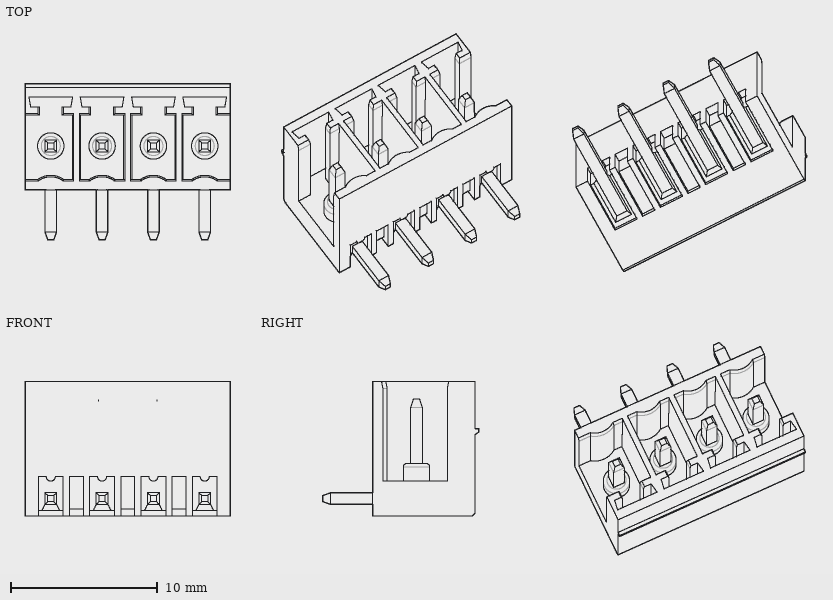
import cadquery as cq


PIN_COUNT = 4
PITCH = 3.5
LENGTH = PIN_COUNT * PITCH
DEPTH = 7.0
HEIGHT = 9.2
FLOOR = 2.4
BACK_EDGE_CHAMFER = 0.2

LEAD_IN = 0.1
LEAD_IN_HEIGHT = 0.5
LEAD_IN_START = HEIGHT - LEAD_IN_HEIGHT

FRONT_WALL = 0.71
BUMP_RADIUS = 1.5
BUMP_REACH = 1.0
BACK_WALL = 0.65
PARTITION_TOP = 0.4
PARTITION_FLOOR = 0.56

TAB_FRONT = 5.1
TAB_BACK = 5.65
NECK_WIDTH = 1.56
WEB_WIDTH_AT_TAB = 0.76
WEB_WIDTH_AT_BACK = 0.52

RIB_REACH = 0.25
RIB_TOP = 5.98
RIB_TIP_BOTTOM = 5.73
RIB_ROOT_BOTTOM = 5.56

PIN_SIZE = 0.8
PIN_TIP_SIZE = 0.42
PIN_Y = 3.0
PIN_TOP = 8.0
UPPER_TIP_LENGTH = 0.6
TAIL_Z = 1.2
TAIL_REACH = 3.4
TAIL_TIP_LENGTH = 0.52
COLLAR_DIAMETER = 1.8
COLLAR_TOP = 3.6
COLLAR_ROUND = 0.25

NOTCH_TOP = 2.7
NOTCH_WIDTH = 1.7
NOTCH_DEPTH = 0.46
NOTCH_LOBE_RADIUS = 0.31
SLOT_WIDTH = 0.94
SLOT_DEPTH = 0.55
RECESS_BACK = 4.0
PIN_RECESS_HEIGHT = 0.38
SLOT_RECESS_HEIGHT = 0.49
TROUGH_WIDTH = 1.22
TROUGH_BACK = 3.64

TAIL_BOTTOM = TAIL_Z - PIN_SIZE / 2
BEND_BACK = PIN_Y + PIN_SIZE / 2

PIN_XS = [(i + 0.5) * PITCH for i in range(PIN_COUNT)]
JOINT_XS = [i * PITCH for i in range(PIN_COUNT + 1)]
INNER_JOINT_XS = JOINT_XS[1:-1]


def block(x_min, x_max, y_min, y_max, z_min, z_max):
    size = (x_max - x_min, y_max - y_min, z_max - z_min)
    return cq.Workplane("XY").box(*size, centered=False).translate((x_min, y_min, z_min))


def centred_block(x, width, y_min, y_max, z_min, z_max):
    return block(x - width / 2, x + width / 2, y_min, y_max, z_min, z_max)


def along_row(profile_yz):
    """Extrude a (y, z) outline over the full length of the row."""
    return cq.Workplane("YZ").polyline(profile_yz).close().extrude(LENGTH)


def base_and_back_wall():
    return along_row([
        (0, 0),
        (DEPTH - BACK_EDGE_CHAMFER, 0),
        (DEPTH, BACK_EDGE_CHAMFER),
        (DEPTH, RIB_ROOT_BOTTOM),
        (DEPTH + RIB_REACH, RIB_TIP_BOTTOM),
        (DEPTH + RIB_REACH, RIB_TOP),
        (DEPTH, RIB_TOP),
        (DEPTH, HEIGHT),
        (DEPTH - BACK_WALL, HEIGHT),
        (DEPTH - BACK_WALL, FLOOR),
        (0, FLOOR),
    ])


def front_wall():
    return along_row([
        (0, 0),
        (FRONT_WALL, 0),
        (FRONT_WALL, LEAD_IN_START),
        (FRONT_WALL - LEAD_IN, HEIGHT),
        (0, HEIGHT),
    ])


def front_wall_bump(x):
    """Shallow rounded bulge on the inside of the front wall, facing a pin."""
    bump = (
        cq.Workplane("XY", origin=(x, BUMP_REACH - BUMP_RADIUS, 0))
        .circle(BUMP_RADIUS)
        .extrude(HEIGHT)
        .faces(">Z")
        .chamfer(LEAD_IN_HEIGHT, LEAD_IN)
    )
    kept = block(0, LENGTH, FRONT_WALL / 2, DEPTH, FLOOR / 2, HEIGHT)
    return bump.intersect(kept)


def partition(x):
    """Drafted wall between two neighbouring sockets."""
    half_floor = PARTITION_FLOOR / 2
    half_top = PARTITION_TOP / 2
    outline = [
        (x - half_floor, FLOOR),
        (x + half_floor, FLOOR),
        (x + half_top, HEIGHT),
        (x - half_top, HEIGHT),
    ]
    start = FRONT_WALL / 2
    wall_section = cq.Workplane("XZ", origin=(0, start, 0)).polyline(outline).close()
    return wall_section.extrude(start - TAB_BACK)


def key_tab(x):
    """Tab narrowing the key slots on both sides of a joint, with its web to the back wall."""
    width = PITCH - NECK_WIDTH
    tab = centred_block(x, width, TAB_FRONT, TAB_BACK, FLOOR, LEAD_IN_START)
    tip_front = TAB_FRONT + LEAD_IN
    tip = (
        cq.Workplane("XY", origin=(x, 0, LEAD_IN_START))
        .center(0, (TAB_FRONT + TAB_BACK) / 2)
        .rect(width, TAB_BACK - TAB_FRONT)
        .workplane(offset=LEAD_IN_HEIGHT)
        .center(0, (tip_front - TAB_FRONT) / 2)
        .rect(width - 2 * LEAD_IN, TAB_BACK - tip_front)
        .loft(ruled=True)
    )
    web = (
        cq.Workplane("XY", origin=(x, 0, FLOOR))
        .polyline([
            (-WEB_WIDTH_AT_TAB / 2, TAB_BACK),
            (WEB_WIDTH_AT_TAB / 2, TAB_BACK),
            (WEB_WIDTH_AT_BACK / 2, DEPTH - BACK_WALL),
            (-WEB_WIDTH_AT_BACK / 2, DEPTH - BACK_WALL),
        ])
        .close()
        .extrude(HEIGHT - FLOOR)
    )
    row_bounds = block(0, LENGTH, 0, DEPTH, 0, HEIGHT)
    return tab.union(tip).union(web).intersect(row_bounds)


def pin_notch(x):
    """Front notch around a pin tail; a half-round lobe hangs from its top edge."""
    notch = centred_block(x, NOTCH_WIDTH, 0, NOTCH_DEPTH, 0, NOTCH_TOP)
    lobe = (
        cq.Workplane("XZ", origin=(x, 0, NOTCH_TOP))
        .circle(NOTCH_LOBE_RADIUS)
        .extrude(-NOTCH_DEPTH)
    )
    recess = centred_block(x, NOTCH_WIDTH, 0, RECESS_BACK, 0, PIN_RECESS_HEIGHT)
    return notch.cut(lobe).union(recess)


def pin_trough(x):
    """Lead-in below the pin tail, tapering from the underside recess up to the pin."""
    return (
        cq.Workplane("XY", origin=(x, 0, PIN_RECESS_HEIGHT))
        .center(0, TROUGH_BACK / 2)
        .rect(TROUGH_WIDTH, TROUGH_BACK)
        .workplane(offset=TAIL_BOTTOM - PIN_RECESS_HEIGHT)
        .center(0, (BEND_BACK - TROUGH_BACK) / 2)
        .rect(PIN_SIZE, BEND_BACK)
        .loft(ruled=True)
    )


def joint_slot(x):
    """Front slot midway between two pins, running on under the housing."""
    slot = centred_block(x, SLOT_WIDTH, 0, SLOT_DEPTH, 0, NOTCH_TOP)
    recess = centred_block(x, SLOT_WIDTH, 0, RECESS_BACK, 0, SLOT_RECESS_HEIGHT)
    return slot.union(recess)


def square_bar(plane, length, tip_length):
    """Square bar along the plane normal, ending in a blunt tapered tip."""
    shank = cq.Workplane(plane).rect(PIN_SIZE, PIN_SIZE).extrude(length - tip_length)
    tip = (
        shank.faces(cq.selectors.DirectionMinMaxSelector(plane.zDir))
        .workplane()
        .rect(PIN_SIZE, PIN_SIZE)
        .workplane(offset=tip_length)
        .rect(PIN_TIP_SIZE, PIN_TIP_SIZE)
        .loft(ruled=True, combine=False)
    )
    return shank.union(tip)


def contact_pin(x):
    """Bent pin: upright contact, tail leaving the front face and a round collar on the floor."""
    upright_plane = cq.Plane(origin=(x, PIN_Y, TAIL_BOTTOM), xDir=(1, 0, 0), normal=(0, 0, 1))
    tail_plane = cq.Plane(origin=(x, BEND_BACK, TAIL_Z), xDir=(1, 0, 0), normal=(0, -1, 0))
    upright = square_bar(upright_plane, PIN_TOP - TAIL_BOTTOM, UPPER_TIP_LENGTH)
    tail = square_bar(tail_plane, BEND_BACK + TAIL_REACH, TAIL_TIP_LENGTH)
    collar = (
        cq.Workplane("XY", origin=(x, PIN_Y, FLOOR))
        .circle(COLLAR_DIAMETER / 2)
        .extrude(COLLAR_TOP - FLOOR)
        .faces(">Z")
        .edges()
        .fillet(COLLAR_ROUND)
    )
    return upright.union(tail).union(collar)


def build_header():
    housing = base_and_back_wall().union(front_wall())
    for x in INNER_JOINT_XS:
        housing = housing.union(partition(x))
    for x in JOINT_XS:
        housing = housing.union(key_tab(x))
    for x in PIN_XS:
        housing = housing.union(front_wall_bump(x))
    for x in PIN_XS:
        housing = housing.cut(pin_notch(x)).cut(pin_trough(x))
    for x in INNER_JOINT_XS:
        housing = housing.cut(joint_slot(x))
    for x in PIN_XS:
        housing = housing.union(contact_pin(x))
    return housing


result = build_header().translate((-LENGTH / 2, 0, 0))